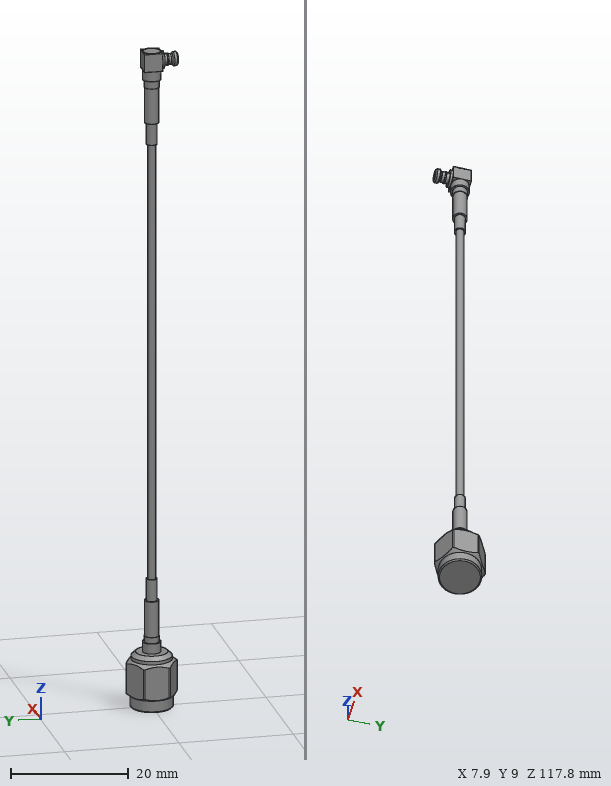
import cadquery as cq
import math

TOTAL_LENGTH = 117.8

CABLE_DIAMETER = 1.4
SLEEVE_WIDE_DIAMETER = 2.5
SLEEVE_NARROW_DIAMETER = 1.9
SLEEVE_WIDE_LENGTH = 6.4
SLEEVE_NARROW_LENGTH = 3.9
NECK_DIAMETER = 2.6

HEX_ACROSS_FLATS = 7.9
HEX_ROUND_DIAMETER = 9.0
RIM_DIAMETER = 7.4
RIM_HEIGHT = 2.1
RIM_BEVEL = 0.2
HEX_SIDES = 6
HEX_TOP_Z = 8.6
CORNER_BEVEL_ANGLE = 35.0
SHOULDER_DIAMETER = 7.1
SHOULDER_Z = 9.2
CONE_TOP_DIAMETER = 5.5
CONE_TOP_Z = 9.9
SCREW_COLLAR_DIAMETER = 3.2
SCREW_COLLAR_TOP_Z = 11.7
SCREW_NECK_LENGTH = 1.1

BLOCK_WIDTH = 3.2
BLOCK_HEIGHT = 3.2
CAP_DIAMETER = 3.1
CAP_HEIGHT = 0.1
PLUG_COLLAR_LENGTH = 1.8
PLUG_NECK_LENGTH = 1.4
FLANGE_DIAMETER = 3.1
FLANGE_END = 2.0
RING_DIAMETER = 2.1
RING_START = 2.6
RING_END = 2.8
HEAD_START = 3.5
HEAD_END = 4.5
HEAD_DIAMETER = 2.5
HEAD_BEVEL = 0.2
NOSE_CORE_DIAMETER = 1.9
SOCKET_DIAMETER = 1.6
SOCKET_DEPTH = 1.2
PIN_DIAMETER = 0.51

CAP_Z = TOTAL_LENGTH - CAP_HEIGHT
BLOCK_Z = CAP_Z - BLOCK_HEIGHT
PLUG_COLLAR_Z = BLOCK_Z - PLUG_COLLAR_LENGTH
CABLE_TOP_Z = PLUG_COLLAR_Z - PLUG_NECK_LENGTH
CABLE_BOTTOM_Z = SCREW_COLLAR_TOP_Z + SCREW_NECK_LENGTH
NOSE_Z = BLOCK_Z + BLOCK_HEIGHT / 2


def cylinder(diameter, z_start, z_end):
    """Solid cylinder on the Z axis."""
    return cq.Workplane("XY").workplane(offset=z_start).circle(diameter / 2).extrude(z_end - z_start)


def nose_cylinder(diameter, start, end):
    """Solid cylinder on the plug's nose axis, between two distances from the cable axis."""
    plane = cq.Plane(origin=(0, -start, NOSE_Z), xDir=(1, 0, 0), normal=(0, -1, 0))
    return cq.Workplane(plane).circle(diameter / 2).extrude(end - start)


def make_cable():
    return cylinder(CABLE_DIAMETER, CABLE_BOTTOM_Z, CABLE_TOP_Z)


def make_sleeve(connector_z, direction):
    """Stepped tube starting at a connector neck and running up (1) or down (-1) the cable."""
    step_z = connector_z + direction * SLEEVE_WIDE_LENGTH
    end_z = step_z + direction * SLEEVE_NARROW_LENGTH
    wide = cylinder(SLEEVE_WIDE_DIAMETER, connector_z, step_z)
    narrow = cylinder(SLEEVE_NARROW_DIAMETER, step_z, end_z)
    bore = cylinder(CABLE_DIAMETER, connector_z, end_z)
    return wide.union(narrow).cut(bore)


def make_hexagon():
    """Hexagon with flats facing +X and -X, its corners bevelled at both ends."""
    half_side_angle = 180 / HEX_SIDES
    across_corners = HEX_ACROSS_FLATS / math.cos(math.radians(half_side_angle))
    prism = (
        cq.Workplane("XY")
        .workplane(offset=RIM_HEIGHT)
        .polygon(HEX_SIDES, across_corners)
        .extrude(HEX_TOP_Z - RIM_HEIGHT)
        .rotate((0, 0, 0), (0, 0, 1), half_side_angle)
    )
    slope = math.tan(math.radians(CORNER_BEVEL_ANGLE))
    outer = HEX_ROUND_DIAMETER / 2
    shoulder = SHOULDER_DIAMETER / 2
    rim = RIM_DIAMETER / 2
    envelope = (
        cq.Workplane("XZ")
        .moveTo(0, RIM_HEIGHT)
        .lineTo(rim, RIM_HEIGHT)
        .lineTo(outer, RIM_HEIGHT + (outer - rim) * slope)
        .lineTo(outer, HEX_TOP_Z - (outer - shoulder) * slope)
        .lineTo(shoulder, HEX_TOP_Z)
        .lineTo(0, HEX_TOP_Z)
        .close()
        .revolve()
    )
    return prism.intersect(envelope)


def make_screw_connector():
    rim = cylinder(RIM_DIAMETER, 0, RIM_HEIGHT).faces("<Z").chamfer(RIM_BEVEL)
    shoulder = cylinder(SHOULDER_DIAMETER, HEX_TOP_Z, SHOULDER_Z)
    cone = (
        cq.Workplane("XY")
        .workplane(offset=SHOULDER_Z)
        .circle(SHOULDER_DIAMETER / 2)
        .workplane(offset=CONE_TOP_Z - SHOULDER_Z)
        .circle(CONE_TOP_DIAMETER / 2)
        .loft(ruled=True)
    )
    collar = cylinder(SCREW_COLLAR_DIAMETER, CONE_TOP_Z, SCREW_COLLAR_TOP_Z)
    neck = cylinder(NECK_DIAMETER, SCREW_COLLAR_TOP_Z, CABLE_BOTTOM_Z)
    return make_hexagon().union(rim).union(shoulder).union(cone).union(collar).union(neck)


def make_nose():
    """Flange, ring and bevelled snap-on head on a thin core, with a pin in the open end."""
    head = nose_cylinder(HEAD_DIAMETER, HEAD_START, HEAD_END).edges().chamfer(HEAD_BEVEL)
    socket_floor = HEAD_END - SOCKET_DEPTH
    return (
        nose_cylinder(NOSE_CORE_DIAMETER, 0, HEAD_END)
        .union(nose_cylinder(FLANGE_DIAMETER, 0, FLANGE_END))
        .union(nose_cylinder(RING_DIAMETER, RING_START, RING_END))
        .union(head)
        .cut(nose_cylinder(SOCKET_DIAMETER, socket_floor, HEAD_END))
        .union(nose_cylinder(PIN_DIAMETER, socket_floor, HEAD_END))
    )


def make_right_angle_plug():
    block = (
        cq.Workplane("XY")
        .workplane(offset=BLOCK_Z)
        .rect(BLOCK_WIDTH, BLOCK_WIDTH)
        .extrude(BLOCK_HEIGHT)
    )
    cap = cylinder(CAP_DIAMETER, CAP_Z, TOTAL_LENGTH)
    collar = cylinder(BLOCK_WIDTH, PLUG_COLLAR_Z, BLOCK_Z)
    neck = cylinder(NECK_DIAMETER, CABLE_TOP_Z, PLUG_COLLAR_Z)
    return block.union(cap).union(collar).union(neck).union(make_nose())


cable = make_cable()
sleeves = [make_sleeve(z, direction) for z, direction in ((CABLE_BOTTOM_Z, 1), (CABLE_TOP_Z, -1))]
screw_connector = make_screw_connector()
right_angle_plug = make_right_angle_plug()

result = cq.Compound.makeCompound(
    [
        cable.val(),
        *[sleeve.val() for sleeve in sleeves],
        screw_connector.val(),
        right_angle_plug.val(),
    ]
)